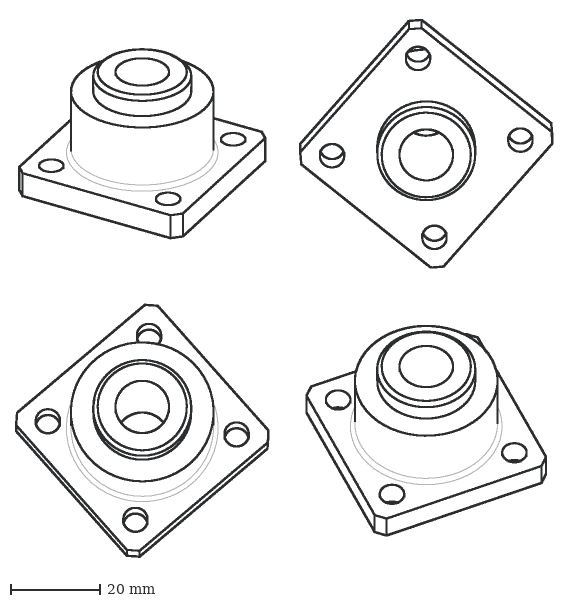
import cadquery as cq

flange_side = 42.0
flange_thickness = 6.0
corner_chamfer = 2.0

housing_diameter = 32.0
housing_height = 16.0
root_fillet = 1.0

sleeve_diameter = 22.0
sleeve_projection = 5.0
sleeve_chamfer = 1.0
bore_diameter = 12.0

hole_diameter = 5.5
hole_spacing = 30.0

flange_bottom = sleeve_projection
flange_top = flange_bottom + flange_thickness
total_height = flange_top + housing_height + sleeve_projection


def make_flange():
    return (
        cq.Workplane("XY", origin=(0, 0, flange_bottom))
        .rect(flange_side, flange_side)
        .extrude(flange_thickness)
        .edges("|Z")
        .chamfer(corner_chamfer)
    )


def make_housing():
    """Cylinder with a concave fillet flaring out to the flange, as a revolved profile."""
    radius = housing_diameter / 2
    mid_offset = root_fillet * (1 - 0.5**0.5)
    return (
        cq.Workplane("XZ")
        .moveTo(0, flange_top)
        .lineTo(radius + root_fillet, flange_top)
        .threePointArc(
            (radius + mid_offset, flange_top + mid_offset),
            (radius, flange_top + root_fillet),
        )
        .lineTo(radius, flange_top + housing_height)
        .lineTo(0, flange_top + housing_height)
        .close()
        .revolve(360, (0, 0), (0, 1))
    )


def make_sleeve():
    return (
        cq.Workplane("XY")
        .circle(sleeve_diameter / 2)
        .extrude(total_height)
        .faces("<Z or >Z")
        .edges()
        .chamfer(sleeve_chamfer)
    )


def make_holes():
    bore = cq.Workplane("XY").circle(bore_diameter / 2).extrude(total_height)
    mounting_holes = (
        cq.Workplane("XY", origin=(0, 0, flange_bottom))
        .rect(hole_spacing, hole_spacing, forConstruction=True)
        .vertices()
        .circle(hole_diameter / 2)
        .extrude(flange_thickness)
    )
    return bore.union(mounting_holes)


result = make_flange().union(make_housing()).union(make_sleeve()).cut(make_holes())